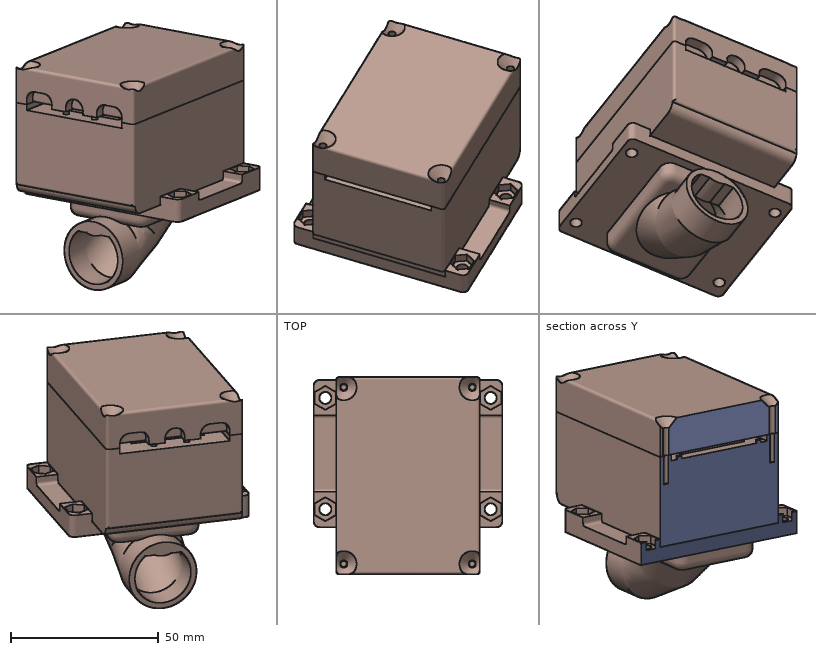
import cadquery as cq
import math

BOX_WIDTH = 48.7
BOX_LENGTH = 67.0
BOX_TOP = 29.2
LID_TOP = 42.05
TOTAL_HEIGHT = 78.0
LID_HEIGHT = LID_TOP - BOX_TOP
EDGE_RADIUS = 1.0
FRONT = -BOX_LENGTH / 2

STEP_DEPTH = 3.0
STEP_LENGTH = BOX_LENGTH - 2 * EDGE_RADIUS

SLOT_WIDTH = 39.15
SLOT_DEPTH = 2.0
PIN_DIAMETER = 2.0
PIN_HEIGHT = 0.9
INNER_PIN_SPACING = 11.6
INNER_PIN_X = -0.3
OUTER_PIN_SPACING = 32.6
PIN_INSET = 4.1
BLOCK_WIDTH = 25.9
BLOCK_INSET = 7.8
BLOCK_RADIUS = 1.25

ARCH_HEIGHT = 5.0
ARCH_DEPTH = 3.6
ARCH_RADIUS = 3.4
ARCH_LIP_RADIUS = 0.85
MIDDLE_ARCH_WIDTH = 6.95
SIDE_ARCH_WIDTH = 10.4
SIDE_ARCH_X = (SLOT_WIDTH - SIDE_ARCH_WIDTH) / 2

SCREW_SPACING_X = 43.6
SCREW_SPACING_Y = 59.9
SCREW_DIAMETER = 2.5
SCREW_HEAD_DIAMETER = 8.7
SCREW_HEAD_ANGLE = 90
PILOT_DIAMETER = 2.0
PILOT_DEPTH = 10.0

FLANGE_WIDTH = 64.0
FLANGE_LENGTH = 50.0
FLANGE_HEIGHT = 7.95
FLANGE_BACK = STEP_LENGTH / 2
FLANGE_Y = FLANGE_BACK - FLANGE_LENGTH / 2
FLANGE_RADIUS = 2.0
GROOVE_LENGTH = 26.0
GROOVE_RADIUS = 1.0
BOLT_SPACING_X = 56.1
BOLT_SPACING_Y = 37.75
BOLT_DIAMETER = 4.0
NUT_FLATS = 7.0
NUT_DEPTH = 3.0
NUT_SIDES = 6
NUT_CORNERS = NUT_FLATS / math.cos(math.pi / NUT_SIDES)
NUT_TURN = 180 / NUT_SIDES

DUCT_X = -0.4
PAD_WIDTH = 32.1
PAD_LENGTH = 42.75
PAD_Y = 6.95
PAD_HEIGHT = 6.1
PAD_CORNER_RADIUS = 4.0
PAD_EDGE_RADIUS = 3.0

TUBE_DIAMETER = 24.0
BORE_DIAMETER = 20.0
WALL = (TUBE_DIAMETER - BORE_DIAMETER) / 2
TUBE_FRONT = -21.45
TUBE_LENGTH = 10.0
TUBE_BACK = TUBE_FRONT + TUBE_LENGTH
TUBE_Z = LID_TOP - TOTAL_HEIGHT + TUBE_DIAMETER / 2
BEND_Y = -2.2
BEND_Z = -18.8
OUTLET_MARGIN = 0.15
OUTLET_WIDTH = PAD_WIDTH - 2 * OUTLET_MARGIN
OUTLET_LENGTH = PAD_LENGTH - 2 * OUTLET_MARGIN

LIP_RISE = 7.7
LIP_BULGE = 0.6
LIP_BULGE_WIDTH = 5.85


def corner_points(spacing_x, spacing_y):
    return [(i * spacing_x / 2, j * spacing_y / 2) for i in (-1, 1) for j in (-1, 1)]


def block(width, length, bottom, top, x=0, y=0):
    return (
        cq.Workplane("XY", origin=(x, y, bottom))
        .rect(width, length)
        .extrude(top - bottom)
    )


def make_arch(x, width):
    """Cable arch: a round-cornered recess whose back wall curves away at its lower edge."""
    arch = block(width, ARCH_DEPTH, BOX_TOP, BOX_TOP + ARCH_HEIGHT, x, FRONT + ARCH_DEPTH / 2)
    arch = arch.edges("|Y and >Z").fillet(ARCH_RADIUS)
    lip_y = FRONT + ARCH_DEPTH
    lip = block(width, ARCH_LIP_RADIUS, BOX_TOP, BOX_TOP + ARCH_LIP_RADIUS, x, lip_y + ARCH_LIP_RADIUS / 2)
    roll = (
        cq.Workplane("YZ", origin=(x, lip_y + ARCH_LIP_RADIUS, BOX_TOP + ARCH_LIP_RADIUS))
        .circle(ARCH_LIP_RADIUS)
        .extrude(width / 2, both=True)
    )
    return arch.union(lip.cut(roll))


def make_lid():
    """Lid with front cable arches and countersunk corner screw holes."""
    lid = block(BOX_WIDTH, BOX_LENGTH, BOX_TOP, LID_TOP)
    lid = lid.edges("|Z").fillet(EDGE_RADIUS).faces(">Z").edges().fillet(EDGE_RADIUS)
    arches = [
        (-SIDE_ARCH_X, SIDE_ARCH_WIDTH),
        (0, MIDDLE_ARCH_WIDTH),
        (SIDE_ARCH_X, SIDE_ARCH_WIDTH),
    ]
    for x, width in arches:
        lid = lid.cut(make_arch(x, width))
    return (
        lid.faces(">Z")
        .workplane(origin=(0, 0, LID_TOP))
        .pushPoints(corner_points(SCREW_SPACING_X, SCREW_SPACING_Y))
        .cskHole(SCREW_DIAMETER, SCREW_HEAD_DIAMETER, SCREW_HEAD_ANGLE, LID_HEIGHT)
    )


def make_box():
    """Box with its lower step, cable slot, centre block, pins and screw pilot holes."""
    box = block(BOX_WIDTH, BOX_LENGTH, 0, BOX_TOP)
    box = box.edges("|Z").fillet(EDGE_RADIUS)
    rounded_front = block(BOX_WIDTH, BOX_LENGTH, 0, BOX_TOP).edges("<Z and <Y").fillet(EDGE_RADIUS)
    box = box.intersect(rounded_front)
    step = block(BOX_WIDTH, STEP_LENGTH, -STEP_DEPTH, BOX_TOP / 2)
    step = step.edges("<Z and <Y").fillet(STEP_DEPTH)
    box = box.union(step)

    floor = BOX_TOP - SLOT_DEPTH
    box = box.cut(block(SLOT_WIDTH, BOX_LENGTH, floor, BOX_TOP))
    centre_block = block(BLOCK_WIDTH, BOX_LENGTH - 2 * BLOCK_INSET, floor, BOX_TOP)
    box = box.union(centre_block.edges(">Z and <Y").fillet(BLOCK_RADIUS))

    pin_y = FRONT + PIN_INSET
    pins = (
        cq.Workplane("XY", origin=(0, 0, floor))
        .pushPoints(
            [(INNER_PIN_X + side * INNER_PIN_SPACING / 2, pin_y) for side in (-1, 1)]
            + [(side * OUTER_PIN_SPACING / 2, -pin_y) for side in (-1, 1)]
        )
        .circle(PIN_DIAMETER / 2)
        .extrude(PIN_HEIGHT)
    )
    pilot_holes = (
        cq.Workplane("XY", origin=(0, 0, BOX_TOP))
        .pushPoints(corner_points(SCREW_SPACING_X, SCREW_SPACING_Y))
        .circle(PILOT_DIAMETER / 2)
        .extrude(-PILOT_DEPTH)
    )
    return box.union(pins).cut(pilot_holes)


def make_flange():
    """Flange with a seat for the step of the box, grooved ears, bolt holes and nut pockets."""
    flange = block(FLANGE_WIDTH, FLANGE_LENGTH, -FLANGE_HEIGHT, 0, 0, FLANGE_Y)
    flange = flange.edges("|Z").fillet(FLANGE_RADIUS)
    seat = block(BOX_WIDTH, FLANGE_LENGTH, -STEP_DEPTH, 0, 0, FLANGE_Y)
    groove = block(FLANGE_WIDTH, GROOVE_LENGTH, -STEP_DEPTH, 0, 0, FLANGE_Y)
    groove = groove.edges("|X and <Z").fillet(GROOVE_RADIUS)
    bolts = cq.Workplane("XY", origin=(0, FLANGE_Y, 0)).pushPoints(
        corner_points(BOLT_SPACING_X, BOLT_SPACING_Y)
    )
    holes = bolts.circle(BOLT_DIAMETER / 2).extrude(-FLANGE_HEIGHT)
    flange = flange.cut(seat).cut(groove).cut(holes)
    for x, y in corner_points(BOLT_SPACING_X, BOLT_SPACING_Y):
        nut = (
            cq.Workplane("XY", origin=(x, FLANGE_Y + y, 0))
            .polygon(NUT_SIDES, NUT_CORNERS)
            .extrude(-NUT_DEPTH)
            .rotate((x, FLANGE_Y + y, 0), (x, FLANGE_Y + y, 1), NUT_TURN)
        )
        flange = flange.cut(nut)
    return flange


def make_pad():
    pad = block(PAD_WIDTH, PAD_LENGTH, -FLANGE_HEIGHT - PAD_HEIGHT, -FLANGE_HEIGHT, DUCT_X, PAD_Y)
    pad = pad.edges("|Z").fillet(PAD_CORNER_RADIUS)
    return pad.faces("<Z").edges().fillet(PAD_EDGE_RADIUS)


def duct_outline(half_width, half_length, y, z, normal, front):
    """Elliptical outline that starts at its front; the front direction lies in its plane."""
    ellipse = cq.Edge.makeEllipse(
        half_length,
        half_width,
        cq.Vector(DUCT_X, y, z),
        cq.Vector(*normal),
        cq.Vector(*front),
    )
    return cq.Wire.assembleEdges([ellipse])


def make_elbow(inset):
    """Solid elbow that lies a given distance inside the outer skin of the duct."""
    radius = TUBE_DIAMETER / 2 - inset
    half_width = OUTLET_WIDTH / 2 - inset
    half_length = OUTLET_LENGTH / 2 - inset
    mouth = duct_outline(radius, radius, TUBE_BACK, TUBE_Z, (0, 1, 0), (0, 0, 1))
    bend = duct_outline(radius, radius, BEND_Y, BEND_Z, (0, 1, 1), (0, -1, 1))
    outlet = duct_outline(half_width, half_length, PAD_Y, -FLANGE_HEIGHT, (0, 0, 1), (0, -1, 0))
    tube = (
        cq.Workplane("XZ", origin=(DUCT_X, TUBE_FRONT, TUBE_Z))
        .circle(radius)
        .extrude(-TUBE_LENGTH)
    )
    lower = cq.Workplane(cq.Solid.makeLoft([mouth, bend], True))
    upper = cq.Workplane(cq.Solid.makeLoft([bend, outlet], True))
    return tube.union(lower).union(upper)


def make_lip():
    """Filling of the bore crown, rooted halfway into the wall of the tube."""
    radius = BORE_DIAMETER / 2 + WALL / 2
    half_chord = math.sqrt(radius**2 - LIP_RISE**2)
    return (
        cq.Workplane("XZ", origin=(DUCT_X, TUBE_FRONT, TUBE_Z))
        .moveTo(-half_chord, LIP_RISE)
        .lineTo(-LIP_BULGE_WIDTH / 2, LIP_RISE)
        .threePointArc((0, LIP_RISE - LIP_BULGE), (LIP_BULGE_WIDTH / 2, LIP_RISE))
        .lineTo(half_chord, LIP_RISE)
        .threePointArc((0, radius), (-half_chord, LIP_RISE))
        .close()
        .extrude(-TUBE_LENGTH)
    )


def make_base():
    base = make_flange().union(make_pad()).union(make_elbow(0))
    base = base.cut(make_elbow(WALL)).union(make_lip())
    passage = (
        cq.Workplane("XY", origin=(DUCT_X, PAD_Y, -FLANGE_HEIGHT))
        .ellipse(OUTLET_WIDTH / 2 - WALL, OUTLET_LENGTH / 2 - WALL)
        .extrude(FLANGE_HEIGHT)
    )
    return base.cut(passage)


lid = make_lid()
box = make_box()
base = make_base()
result = cq.Compound.makeCompound([lid.solids().val(), box.solids().val(), base.solids().val()])